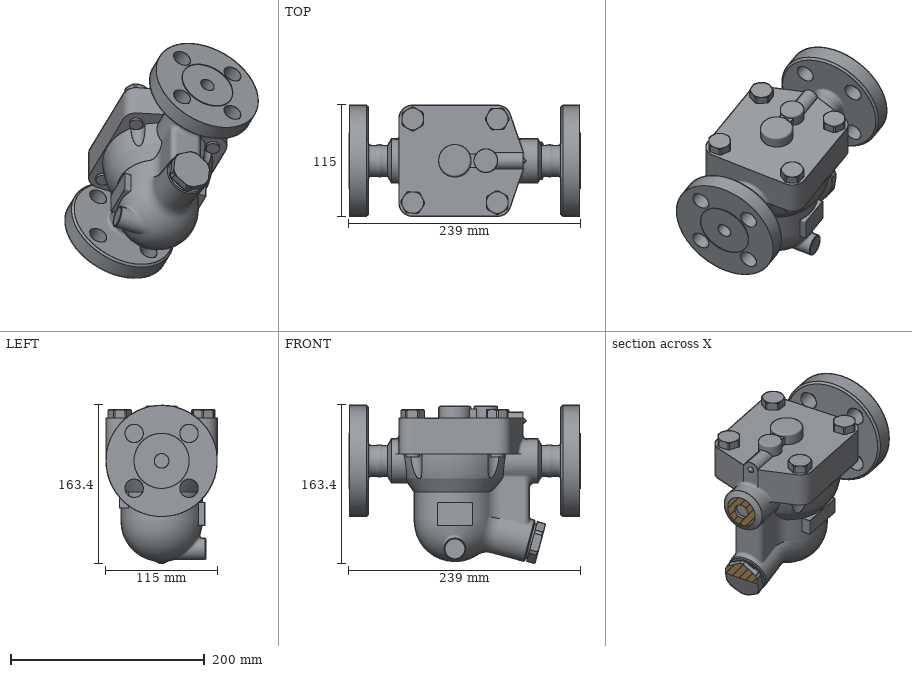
import cadquery as cq
import math

OVERALL_LENGTH = 239.0
FLANGE_RADIUS = 57.48
FLANGE_BACK = 99.2
FLANGE_CHAMFER = 2.2
RAISED_FACE_RADIUS = 28.5
RAISED_FACE_HEIGHT = 0.7
BOLT_CIRCLE_RADIUS = 40.03
FLANGE_HOLE_DIAMETER = 19.0
BORE_DIAMETER = 15.0
NECK_RADIUS = 16.0
NECK_FILLET = 2.9
WELD_INNER = 84.4
WELD_OUTER = 91.0
WELD_HEIGHT = 0.6
PIPE_RADIUS = 23.0
PIPE_END = 75.5
PIPE_CONE_LENGTH = 3.8

COVER_TOP = 44.2
PLATE_BOTTOM = 7.0
PLATE_LEFT = -67.9
PLATE_HALF_WIDTH = FLANGE_RADIUS
PLATE_CORNER_RADIUS = 14.3
PLATE_TIP = 60.5
PIPE_PLATE_FILLET = 2.9

BOLT_LEFT = PLATE_LEFT + PLATE_CORNER_RADIUS
BOLT_RIGHT = 33.7
BOLT_Y = PLATE_HALF_WIDTH - PLATE_CORNER_RADIUS
HEAD_FLATS = 22.0
HEAD_CORNER_RADIUS = 12.2
HEAD_HEIGHT = 8.5
HEAD_CHAMFER = 1.0
BOLT_END_DIAMETER = 14.0
BOLT_END_HEIGHT = 2.9
BOLT_POCKET_RADIUS = 9.5

BODY_X = -10.0
BOSS_TOP = 56.5
LARGE_BOSS_RADIUS = 16.7
SMALL_BOSS_X = 22.0
SMALL_BOSS_RADIUS = 12.2
LARGE_BOSS_FILLET = 2.2
SMALL_BOSS_FILLET = 1.5
BRIDGE_WIDTH = 14.0
BRIDGE_TOP = 53.5
TUBE_RADIUS = 8.8
TUBE_AXIS_Z = 41.3
TUBE_NOSE_RADIUS = 3.3
TUBE_NOSE_LENGTH = 3.3

BODY_RADIUS = 42.0
DOME_Z = -62.0
SHOULDER_RADIUS = 51.6
SHOULDER_Z = -18.6
SHOULDER_MID_RADIUS = 55.2
SHOULDER_TOP_RADIUS = 57.0
CONE_BOTTOM = -32.0

WEB_START = 26.3
WEB_END = 67.0
WEB_HALF_WIDTH = 16.7
WEB_PIPE_FILLET = 4.8
WEB_SOCKET_FILLET = 2.9
WEB_BOTTOM = -70.5
WEB_CORNER_RADIUS = 5.7
WEB_BODY_FILLET = 16.7

SOCKET_SLOPE = 15.0
SOCKET_RADIUS = 22.0
SOCKET_FILLET = 17.2
SOCKET_END = 80.3
SOCKET_CHAMFER = 1.2
PLUG_NECK_RADIUS = 18.2
PLUG_NECK_LENGTH = 2.2
PLUG_CORNER_RADIUS = 21.3
PLUG_FLATS = 38.7
PLUG_HEIGHT = 8.8
PLUG_CHAMFER = 1.0

DRAIN_RADIUS = 11.0
DRAIN_Z = -90.8
DRAIN_FACE_Y = -45.6
DRAIN_FILLET = 2.9
DRAIN_CHAMFER = 0.7
PAD_WIDTH = 36.3
PAD_TOP = -42.8
PAD_BOTTOM = -67.0
PAD_FACE_Y = -44.7
PAD_CORNER_RADIUS = 1.7
REAR_PAD_WIDTH = 49.7
REAR_PAD_BOTTOM = -48.5
REAR_PAD_FACE_Y = 43.5

MARGIN = 0.2


def cylinder_up(x, y, radius, bottom, top):
    """Vertical cylinder between two heights."""
    return cq.Workplane("XY", origin=(x, y, bottom)).circle(radius).extrude(top - bottom)


def hex_head(flats, corner_radius, height, chamfer):
    """Hexagonal head standing on XY, its corners turned down to a radius and chamfered on top."""
    blank = cq.Workplane("XY").polygon(6, 2 * flats / math.sqrt(3)).extrude(height)
    envelope = cq.Workplane("XY").circle(corner_radius).extrude(height).faces(">Z").chamfer(chamfer)
    return blank.intersect(envelope)


def pipe_end():
    """Flange, welded neck and pipe on the +X side, as one turned shape."""
    flange_face = OVERALL_LENGTH / 2
    flange_front = flange_face - RAISED_FACE_HEIGHT
    neck_start = PIPE_END + PIPE_CONE_LENGTH
    weld_middle = (WELD_INNER + WELD_OUTER) / 2
    fillet_mid = NECK_FILLET * (1 - math.sqrt(0.5))
    turned = (
        cq.Workplane("XY")
        .moveTo(0, 0)
        .lineTo(0, PIPE_RADIUS)
        .lineTo(PIPE_END, PIPE_RADIUS)
        .lineTo(neck_start, NECK_RADIUS)
        .lineTo(WELD_INNER, NECK_RADIUS)
        .threePointArc((weld_middle, NECK_RADIUS + WELD_HEIGHT), (WELD_OUTER, NECK_RADIUS))
        .lineTo(FLANGE_BACK - NECK_FILLET, NECK_RADIUS)
        .threePointArc((FLANGE_BACK - fillet_mid, NECK_RADIUS + fillet_mid),
                       (FLANGE_BACK, NECK_RADIUS + NECK_FILLET))
        .lineTo(FLANGE_BACK, FLANGE_RADIUS - FLANGE_CHAMFER)
        .lineTo(FLANGE_BACK + FLANGE_CHAMFER, FLANGE_RADIUS)
        .lineTo(flange_front, FLANGE_RADIUS)
        .lineTo(flange_front, RAISED_FACE_RADIUS)
        .lineTo(flange_face, RAISED_FACE_RADIUS)
        .lineTo(flange_face, 0)
        .close()
        .revolve(360, (0, 0, 0), (1, 0, 0))
    )
    bolt_holes = (
        cq.Workplane("YZ", origin=(FLANGE_BACK, 0, 0))
        .polarArray(BOLT_CIRCLE_RADIUS, 45, 360, 4)
        .circle(FLANGE_HOLE_DIAMETER / 2)
        .extrude(flange_face - FLANGE_BACK)
    )
    return turned.cut(bolt_holes)


def bores():
    """Blind bores through both flanges and necks, ending where the full pipe starts."""
    right = (
        cq.Workplane("YZ", origin=(PIPE_END, 0, 0))
        .circle(BORE_DIAMETER / 2)
        .extrude(OVERALL_LENGTH / 2 - PIPE_END)
    )
    return right.union(right.mirror("YZ"))


def plate():
    """Cover and body flange: straight on the left, tapering to a narrow tip on the right."""
    r = PLATE_CORNER_RADIUS
    diagonal = r * math.sqrt(0.5)
    run = PLATE_TIP - BOLT_RIGHT
    rise = BOLT_Y - TUBE_RADIUS
    tangent = math.acos(r / math.hypot(run, rise)) - math.atan2(rise, run)

    def right_corner(angle, side):
        return (BOLT_RIGHT + r * math.cos(angle), side * (BOLT_Y + r * math.sin(angle)))

    middle = (tangent + math.pi / 2) / 2
    return (
        cq.Workplane("XY", origin=(0, 0, PLATE_BOTTOM))
        .moveTo(BOLT_LEFT, PLATE_HALF_WIDTH)
        .lineTo(BOLT_RIGHT, PLATE_HALF_WIDTH)
        .threePointArc(right_corner(middle, 1), right_corner(tangent, 1))
        .lineTo(PLATE_TIP, TUBE_RADIUS)
        .lineTo(PLATE_TIP, -TUBE_RADIUS)
        .lineTo(*right_corner(tangent, -1))
        .threePointArc(right_corner(middle, -1), (BOLT_RIGHT, -PLATE_HALF_WIDTH))
        .lineTo(BOLT_LEFT, -PLATE_HALF_WIDTH)
        .threePointArc((BOLT_LEFT - diagonal, -BOLT_Y - diagonal), (PLATE_LEFT, -BOLT_Y))
        .lineTo(PLATE_LEFT, BOLT_Y)
        .threePointArc((BOLT_LEFT - diagonal, BOLT_Y + diagonal), (BOLT_LEFT, PLATE_HALF_WIDTH))
        .close()
        .extrude(COVER_TOP - PLATE_BOTTOM)
    )


def plate_on_pipe():
    """Plate joined to both pipe ends, filleted where the pipe leaves its flat sides."""
    right_end = pipe_end()
    joined = plate().union(right_end).union(right_end.mirror("YZ"))
    left_side = cq.selectors.BoxSelector(
        (PLATE_LEFT - MARGIN, -2.5, 0), (PLATE_LEFT + MARGIN, 2.5, PIPE_RADIUS))
    right_side = cq.selectors.BoxSelector(
        (BOLT_RIGHT, -PIPE_RADIUS, PLATE_BOTTOM + MARGIN), (PLATE_TIP + MARGIN, PIPE_RADIUS, PIPE_RADIUS))
    seams = joined.edges(left_side + right_side).filter(lambda edge: edge.geomType() != "LINE")
    return seams.fillet(PIPE_PLATE_FILLET)


def cover_bosses():
    """Two round bosses, the bridge between them and the tube running to the tip."""
    large = cylinder_up(BODY_X, 0, LARGE_BOSS_RADIUS, COVER_TOP, BOSS_TOP)
    small = cylinder_up(SMALL_BOSS_X, 0, SMALL_BOSS_RADIUS, COVER_TOP, BOSS_TOP)
    bridge = cq.Workplane("XY", origin=((BODY_X + SMALL_BOSS_X) / 2, 0, COVER_TOP)).box(
        SMALL_BOSS_X - BODY_X, BRIDGE_WIDTH, BRIDGE_TOP - COVER_TOP, centered=(True, True, False))
    tube = (
        cq.Workplane("YZ", origin=(SMALL_BOSS_X, 0, TUBE_AXIS_Z))
        .circle(TUBE_RADIUS)
        .extrude(PLATE_TIP - SMALL_BOSS_X)
    )
    nose = cq.Workplane(cq.Solid.makeCone(
        TUBE_NOSE_RADIUS, 0, TUBE_NOSE_LENGTH, cq.Vector(PLATE_TIP, 0, TUBE_AXIS_Z), cq.Vector(1, 0, 0)))
    bosses = large.faces(">Z").edges().fillet(LARGE_BOSS_FILLET)
    bosses = bosses.union(small.faces(">Z").edges().fillet(SMALL_BOSS_FILLET))
    return bosses.union(bridge).union(tube).union(nose)


def bolt_positions():
    """Centre of each cover bolt with the turn of its hexagon in degrees."""
    return [
        (BOLT_LEFT, BOLT_Y, 31),
        (BOLT_RIGHT, BOLT_Y, 2),
        (BOLT_LEFT, -BOLT_Y, -3),
        (BOLT_RIGHT, -BOLT_Y, 31),
    ]


def bolts():
    """Hexagon heads on the cover and plain bolt ends below the plate."""
    head = hex_head(HEAD_FLATS, HEAD_CORNER_RADIUS, HEAD_HEIGHT, HEAD_CHAMFER)
    parts = cq.Workplane("XY")
    for x, y, turn in bolt_positions():
        bolt_end = cylinder_up(x, y, BOLT_END_DIAMETER / 2, PLATE_BOTTOM - BOLT_END_HEIGHT, PLATE_BOTTOM)
        placed_head = head.rotate((0, 0, 0), (0, 0, 1), turn).translate((x, y, COVER_TOP))
        parts = parts.add(bolt_end).add(placed_head)
    return parts.combine()


def body():
    """Turned pot with a wider shoulder, a conical step and a spherical bottom."""
    dome_mid = BODY_RADIUS * math.sqrt(0.5)
    shoulder_mid_z = (PLATE_BOTTOM + SHOULDER_Z) / 2
    turned = (
        cq.Workplane("XZ", origin=(BODY_X, 0, 0))
        .moveTo(0, PLATE_BOTTOM)
        .lineTo(SHOULDER_TOP_RADIUS, PLATE_BOTTOM)
        .threePointArc((SHOULDER_MID_RADIUS, shoulder_mid_z), (SHOULDER_RADIUS, SHOULDER_Z))
        .lineTo(BODY_RADIUS, CONE_BOTTOM)
        .lineTo(BODY_RADIUS, DOME_Z)
        .threePointArc((dome_mid, DOME_Z - dome_mid), (0, DOME_Z - BODY_RADIUS))
        .close()
        .revolve(360, (0, 0, 0), (0, 1, 0))
    )
    for x, y, _ in bolt_positions():
        turned = turned.cut(cylinder_up(x, y, BOLT_POCKET_RADIUS, SHOULDER_Z, PLATE_BOTTOM))
    return turned


def drain_boss():
    """Round boss from the dome toward -Y."""
    return (
        cq.Workplane("XZ", origin=(BODY_X, 0, DRAIN_Z))
        .circle(DRAIN_RADIUS)
        .extrude(-DRAIN_FACE_Y)
        .faces("<Y")
        .chamfer(DRAIN_CHAMFER)
    )


def body_with_drain():
    """Body and drain boss with a fillet along their seam."""
    reach = DRAIN_RADIUS + MARGIN
    seam = cq.selectors.BoxSelector(
        (BODY_X - reach, -BODY_RADIUS + 2 * DRAIN_FILLET, DRAIN_Z - reach),
        (BODY_X + MARGIN, -DRAIN_RADIUS, DRAIN_Z + reach))
    return body().union(drain_boss()).edges(seam).fillet(DRAIN_FILLET)


def web_flare():
    """Concave flares joining the web to the round body."""
    flare_centre_y = WEB_HALF_WIDTH + WEB_BODY_FILLET
    centre_distance = BODY_RADIUS + WEB_BODY_FILLET
    flare_run = math.sqrt(centre_distance ** 2 - flare_centre_y ** 2)
    flare_x = BODY_X + flare_run
    touch_ratio = BODY_RADIUS / centre_distance
    touch = (BODY_X + flare_run * touch_ratio, flare_centre_y * touch_ratio)
    flare_angle = (math.atan2(-flare_centre_y, -flare_run) - math.pi / 2) / 2
    flare_mid = (flare_x + WEB_BODY_FILLET * math.cos(flare_angle),
                 flare_centre_y + WEB_BODY_FILLET * math.sin(flare_angle))
    return (
        cq.Workplane("XY")
        .moveTo(BODY_X, touch[1])
        .lineTo(*touch)
        .threePointArc(flare_mid, (flare_x, WEB_HALF_WIDTH))
        .lineTo(flare_x, -WEB_HALF_WIDTH)
        .threePointArc((flare_mid[0], -flare_mid[1]), (touch[0], -touch[1]))
        .lineTo(BODY_X, -touch[1])
        .close()
        .extrude(WEB_BOTTOM)
    )


def tilt_to_socket(upright):
    """Turn a shape built along Z onto the socket axis through the dome centre."""
    return upright.rotate((0, 0, 0), (0, 1, 0), 90 + SOCKET_SLOPE).translate((BODY_X, 0, DOME_Z))


def web():
    """Straight web with its fillets to the outlet pipe above and the plug socket below."""
    blank = (
        cq.Workplane("XY")
        .rect(WEB_END - WEB_START, 2 * WEB_HALF_WIDTH)
        .extrude(WEB_BOTTOM)
        .translate(((WEB_END + WEB_START) / 2, 0, 0))
        .edges("|Z")
        .edges(">X")
        .fillet(WEB_CORNER_RADIUS)
    )
    socket = tilt_to_socket(cq.Workplane("XY").circle(SOCKET_RADIUS).extrude(SOCKET_END - SOCKET_CHAMFER))
    pipe = cq.Workplane("YZ").circle(PIPE_RADIUS).extrude(PIPE_END)
    joined = blank.union(socket).union(pipe)

    def seam(bottom, top):
        return cq.selectors.BoxSelector(
            (WEB_START + MARGIN, -WEB_HALF_WIDTH - MARGIN, bottom),
            (WEB_END + MARGIN, WEB_HALF_WIDTH + MARGIN, top))

    joined = joined.edges(seam(-PIPE_RADIUS, -PIPE_RADIUS / 2)).fillet(WEB_PIPE_FILLET)
    return joined.edges(seam(WEB_BOTTOM, DOME_Z + WEB_CORNER_RADIUS)).fillet(WEB_SOCKET_FILLET)


def plug_socket():
    """Sloping socket flared out of the dome, closed by a hexagon plug."""
    centre_radial = SOCKET_RADIUS + SOCKET_FILLET
    centre_distance = BODY_RADIUS + SOCKET_FILLET
    centre_axial = math.sqrt(centre_distance ** 2 - centre_radial ** 2)
    touch_ratio = BODY_RADIUS / centre_distance
    flare_angle = (math.atan2(-centre_radial, -centre_axial) - math.pi / 2) / 2
    flare_mid = (centre_radial + SOCKET_FILLET * math.sin(flare_angle),
                 centre_axial + SOCKET_FILLET * math.cos(flare_angle))
    plug_seat = SOCKET_END + PLUG_NECK_LENGTH
    socket = (
        cq.Workplane("XZ")
        .moveTo(0, 0)
        .lineTo(centre_radial * touch_ratio, centre_axial * touch_ratio)
        .threePointArc(flare_mid, (SOCKET_RADIUS, centre_axial))
        .lineTo(SOCKET_RADIUS, SOCKET_END - SOCKET_CHAMFER)
        .lineTo(SOCKET_RADIUS - SOCKET_CHAMFER, SOCKET_END)
        .lineTo(PLUG_NECK_RADIUS, SOCKET_END)
        .lineTo(PLUG_NECK_RADIUS, plug_seat)
        .lineTo(0, plug_seat)
        .close()
        .revolve(360, (0, 0, 0), (0, 1, 0))
    )
    plug = hex_head(PLUG_FLATS, PLUG_CORNER_RADIUS, PLUG_HEIGHT, PLUG_CHAMFER).translate((0, 0, plug_seat))
    return tilt_to_socket(socket.union(plug))


def pad(width, bottom, top, face_y):
    """Rectangular pad from the body axis out to a flat face."""
    return cq.Workplane("XY").box(width, abs(face_y), top - bottom).translate(
        (BODY_X, face_y / 2, (top + bottom) / 2))


front_pad = pad(PAD_WIDTH, PAD_BOTTOM, PAD_TOP, PAD_FACE_Y).edges("|Y").fillet(PAD_CORNER_RADIUS)
rear_pad = pad(REAR_PAD_WIDTH, REAR_PAD_BOTTOM, CONE_BOTTOM, REAR_PAD_FACE_Y)

result = (
    plate_on_pipe()
    .union(body_with_drain())
    .union(web_flare())
    .union(plug_socket())
    .union(web())
    .union(cover_bosses())
    .union(bolts())
    .union(front_pad)
    .union(rear_pad)
    .cut(bores())
)